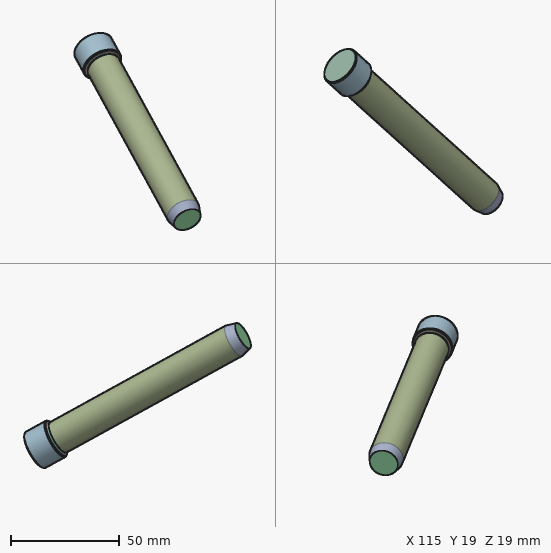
import cadquery as cq
import math

total_length = 115.0
head_diameter = 19.0
head_length = 12.0
head_chamfer = 0.5
shank_diameter = 16.0

groove_radius = 0.5

taper_length = 5.0
taper_angle = 15.0

head_radius = head_diameter / 2
shank_radius = shank_diameter / 2
groove_center = head_length + groove_radius
groove_end = head_length + 2 * groove_radius
taper_start = total_length - taper_length
tip_radius = shank_radius - taper_length * math.tan(math.radians(taper_angle))


def make_pin():
    """Revolve the half section (X along the pin, Y as radius) about the pin axis."""
    half_section = (
        cq.Workplane("XY")
        .lineTo(0, head_radius - head_chamfer)
        .lineTo(head_chamfer, head_radius)
        .lineTo(head_length - head_chamfer, head_radius)
        .lineTo(head_length, head_radius - head_chamfer)
        .lineTo(head_length, shank_radius)
        .threePointArc((groove_center, shank_radius - groove_radius), (groove_end, shank_radius))
        .lineTo(taper_start, shank_radius)
        .lineTo(total_length, tip_radius)
        .lineTo(total_length, 0)
        .close()
    )
    axis_start = (0, 0, 0)
    axis_end = (1, 0, 0)
    return half_section.revolve(360, axis_start, axis_end)


result = make_pin()